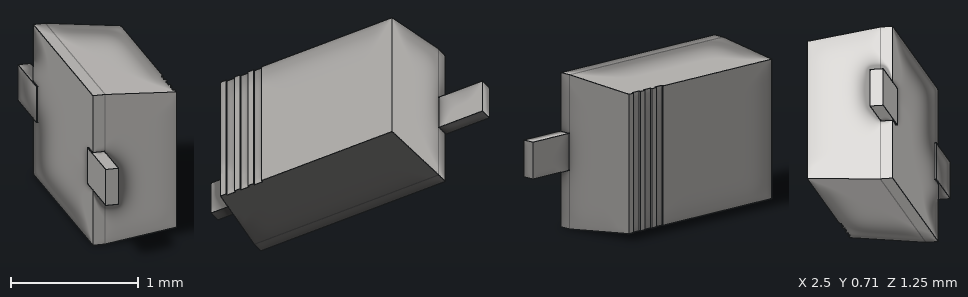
import cadquery as cq

overall_length = 2.5
overall_depth = 0.71

housing_length = 1.7
housing_height = 1.25
standoff = 0.01
base_depth = 0.1
taper_inset = 0.06

groove_count = 3
groove_width = 0.075
groove_pitch = 0.125
groove_depth = 0.015
middle_groove_x = 0.575

lead_length = 0.525
lead_thickness = 0.105
lead_height = 0.3

seating_y = -overall_depth / 2
far_y = overall_depth / 2
housing_y = seating_y + standoff
taper_start_y = housing_y + base_depth


def make_lead(side):
    """Flat lead; side is -1 for the -X end and +1 for the +X end."""
    center_x = side * (overall_length - lead_length) / 2
    center_y = seating_y + lead_thickness / 2
    return cq.Workplane("XY").box(lead_length, lead_thickness, lead_height).translate((center_x, center_y, 0))


def make_housing_blank():
    """Straight band with a tapered block on top, narrowing toward +Y."""
    base = (
        cq.Workplane("XZ", origin=(0, housing_y, 0))
        .rect(housing_length, housing_height)
        .extrude(-base_depth)
    )
    tapered = (
        cq.Workplane("XZ", origin=(0, taper_start_y, 0))
        .rect(housing_length, housing_height)
        .workplane(offset=taper_start_y - far_y)
        .rect(housing_length - 2 * taper_inset, housing_height - 2 * taper_inset)
        .loft(combine=True)
    )
    return base.union(tapered)


def cut_grooves(body):
    """Parallel grooves running the full height of the far face."""
    for index in range(groove_count):
        groove_x = middle_groove_x + (index - (groove_count - 1) / 2) * groove_pitch
        groove = (
            cq.Workplane("XY")
            .box(groove_width, groove_depth, housing_height)
            .translate((groove_x, far_y - groove_depth / 2, 0))
        )
        body = body.cut(groove)
    return body


leads = [make_lead(side) for side in (-1, 1)]

housing = cut_grooves(make_housing_blank())
for lead in leads:
    housing = housing.cut(lead)

result = cq.Compound.makeCompound([housing.solids().val(), *[lead.val() for lead in leads]])